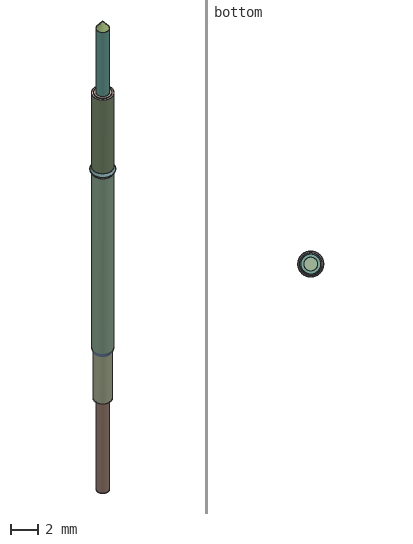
import cadquery as cq


tail_diameter = 1.02
tail_length = 9.0
neck_diameter = 1.47
neck_length = 5.0
neck_taper_length = 0.4
tube_diameter = 1.68
tube_length = 25.0
ring_diameter = 1.93
ring_width = 0.5
ring_below_rim = 7.5
bore_diameter = 1.38

barrel_diameter = 1.36
barrel_above_rim = 0.05
plunger_diameter = 1.0
plunger_length = 7.0
point_length = 0.7

neck_top = tail_length + neck_length
rim = neck_top + tube_length
ring_middle = rim - ring_below_rim
barrel_top = rim + barrel_above_rim
tip = barrel_top + plunger_length
bore_floor = neck_top


def turned(profile):
    """Revolve a closed half profile of (radius, height) points around Z."""
    return cq.Workplane("XZ").polyline(profile).close().revolve(360, (0, 0, 0), (0, 1, 0))


def make_receptacle():
    tail_radius = tail_diameter / 2
    neck_radius = neck_diameter / 2
    tube_radius = tube_diameter / 2
    bore_radius = bore_diameter / 2
    return turned([
        (0, 0),
        (tail_radius, 0),
        (tail_radius, tail_length),
        (neck_radius, tail_length),
        (neck_radius, neck_top - neck_taper_length),
        (tube_radius, neck_top),
        (tube_radius, ring_middle - ring_width / 2),
        (ring_diameter / 2, ring_middle),
        (tube_radius, ring_middle + ring_width / 2),
        (tube_radius, rim),
        (bore_radius, rim),
        (bore_radius, bore_floor),
        (0, bore_floor),
    ])


def make_probe():
    barrel_radius = barrel_diameter / 2
    plunger_radius = plunger_diameter / 2
    return turned([
        (0, bore_floor),
        (barrel_radius, bore_floor),
        (barrel_radius, barrel_top),
        (plunger_radius, barrel_top),
        (plunger_radius, tip - point_length),
        (0, tip),
    ])


receptacle = make_receptacle()
probe = make_probe()

result = cq.Compound.makeCompound([receptacle.val(), probe.val()])